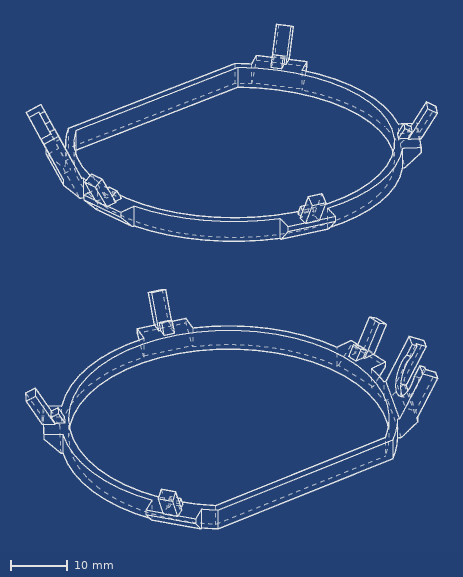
import cadquery as cq
import math

ring_outer_radius = 30.0
wall_thickness = 1.5
ring_inner_radius = ring_outer_radius - wall_thickness
ring_height = 4.0
flat_wall_distance = 23.0

shelf_reach = 33.0
shelf_root = 29.0
shelf_lip_height = 1.0

finger_clip_angles = (125.5, 55.0, -15.0, -85.0)
finger_shelf_width = 9.3
finger_lean = 30.0
long_finger_base = 30.93
long_finger_width = 2.7
long_finger_thickness = 2.0
long_finger_top = 10.0
short_finger_width = 2.0
short_finger_thickness = 1.5
short_finger_top = 6.0

cradle_angle = -115.0
cradle_width = 12.5
cradle_lean = 25.0
cradle_thickness = 3.0
cradle_top = 13.05
cradle_plate_thickness = 1.0
cradle_arm_width = 2.0
opening_diameter = 8.0
opening_center = 5.7
opening_mouth_width = 7.0


def flat_sided_disc(radius, flat_distance):
    """Solid disc of ring height, cut off by a plane at X = -flat_distance."""
    half_chord = math.sqrt(radius**2 - flat_distance**2)
    return (
        cq.Workplane("XY")
        .moveTo(-flat_distance, half_chord)
        .threePointArc((radius, 0), (-flat_distance, -half_chord))
        .close()
        .extrude(ring_height)
    )


def radial_prism(points, width):
    """Extrude a (radius, height) outline symmetrically about the XZ plane."""
    return cq.Workplane("XZ").polyline(points).close().extrude(width / 2, both=True)


def at_angle(solid, angle):
    """Turn a shape built along +X to its place around the ring."""
    return solid.rotate((0, 0, 0), (0, 0, 1), angle)


def make_ring():
    outside = flat_sided_disc(ring_outer_radius, flat_wall_distance)
    inside = flat_sided_disc(ring_inner_radius, flat_wall_distance - wall_thickness)
    return outside.cut(inside)


def make_shelf(width):
    lip_bottom = ring_height - shelf_lip_height
    outline = [
        (shelf_root, 0),
        (shelf_reach - lip_bottom, 0),
        (shelf_reach, lip_bottom),
        (shelf_reach, ring_height),
        (shelf_root, ring_height),
    ]
    return radial_prism(outline, width)


def make_leaning_bar(base, top, thickness, width, lean):
    """Bar whose inner face starts at radius base on the ring top; its end is square."""
    slope = math.radians(lean)
    end_radius = base + (top - ring_height) * math.tan(slope)
    outline = [
        (base, ring_height),
        (end_radius, top),
        (end_radius + thickness * math.cos(slope), top - thickness * math.sin(slope)),
        (base + thickness / math.cos(slope), ring_height),
    ]
    return radial_prism(outline, width)


def make_finger_clip():
    short_finger_base = long_finger_base - short_finger_thickness / math.cos(math.radians(finger_lean))
    long_finger = make_leaning_bar(
        long_finger_base, long_finger_top, long_finger_thickness, long_finger_width, finger_lean
    )
    short_finger = make_leaning_bar(
        short_finger_base, short_finger_top, short_finger_thickness, short_finger_width, finger_lean
    )
    return make_shelf(finger_shelf_width).union(long_finger).union(short_finger)


def make_cradle():
    slope = math.radians(cradle_lean)
    base_depth = cradle_thickness / math.cos(slope)
    base = shelf_reach - base_depth
    body = make_leaning_bar(base, cradle_top, cradle_thickness, cradle_width, cradle_lean)

    inner_face = cq.Plane(
        origin=(base, 0, ring_height),
        xDir=(0, 1, 0),
        normal=(math.cos(slope), 0, -math.sin(slope)),
    )
    plate_length = (cradle_top - ring_height) / math.cos(slope)
    ledge_height = base_depth * math.sin(slope)
    slot_width = cradle_width - 2 * cradle_arm_width
    slot = (
        cq.Workplane(inner_face)
        .workplane(offset=cradle_plate_thickness)
        .center(0, (ledge_height + plate_length) / 2)
        .rect(slot_width, plate_length - ledge_height)
        .extrude(cradle_thickness - cradle_plate_thickness)
    )
    opening = (
        cq.Workplane(inner_face)
        .center(0, opening_center)
        .circle(opening_diameter / 2)
        .extrude(cradle_plate_thickness)
    )
    mouth = (
        cq.Workplane(inner_face)
        .center(0, (opening_center + plate_length) / 2)
        .rect(opening_mouth_width, plate_length - opening_center)
        .extrude(cradle_plate_thickness)
    )
    return make_shelf(cradle_width).union(body.cut(slot).cut(opening).cut(mouth))


result = make_ring()
for clip_angle in finger_clip_angles:
    result = result.union(at_angle(make_finger_clip(), clip_angle))
result = result.union(at_angle(make_cradle(), cradle_angle))